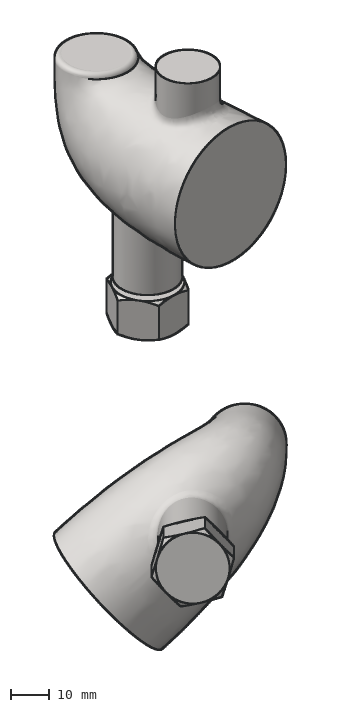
import cadquery as cq
import math

LENGTH = 59.45
WIDTH = 41.0
HEIGHT = 83.5

MOUTH_RADIUS = WIDTH / 2
MOUTH_CENTER_Z = 51.4
CAP_RADIUS = 10.85
CAP_FLAT_RADIUS = 9.0
CAP_BASE_Z = 72.0
CAP_HEIGHT = 1.3
CAP_EDGE_BULGE = 0.5
SECTION_COUNT = 16

TOP_NECK_RADIUS = 8.35
TOP_NECK_X = 44.0
TOP_NECK_FILLET = 2.9
BOTTOM_NECK_RADIUS = 9.0
BOTTOM_NECK_X = 29.4
BOTTOM_NECK_FILLET = 2.9
BOTTOM_NECK_END_Z = 13.45

NUT_FLATS = 19.0
NUT_HEIGHT = 11.9
NUT_CHAMFER_ANGLE = 30.0
NUT_SIDES = 6
NUT_TURN = 180.0 / NUT_SIDES

MOUTH_TOP_Z = MOUTH_CENTER_Z + MOUTH_RADIUS
MOUTH_BOTTOM_Z = MOUTH_CENTER_Z - MOUTH_RADIUS
UPPER_EDGE_X = (2 * CAP_RADIUS, 24.2, 37.6, LENGTH)
UPPER_EDGE_Z = (CAP_BASE_Z, 72.8, MOUTH_TOP_Z, MOUTH_TOP_Z)
LOWER_EDGE_X = (0.0, 0.0, 6.5, LENGTH)
LOWER_EDGE_Z = (CAP_BASE_Z, 47.3, 30.3, MOUTH_BOTTOM_Z)
HALF_WIDTH = (CAP_RADIUS, 11.85, 20.7, MOUTH_RADIUS)


def bezier(controls, t):
    """Value at t (0 to 1) of the cubic Bezier curve with four control values."""
    a, b, c, d = controls
    s = 1 - t
    return a * s**3 + 3 * b * s**2 * t + 3 * c * s * t**2 + d * t**3


def elbow_section(t):
    """Ellipse that spans the upper and lower edges of the elbow at t."""
    upper = cq.Vector(bezier(UPPER_EDGE_X, t), 0, bezier(UPPER_EDGE_Z, t))
    lower = cq.Vector(bezier(LOWER_EDGE_X, t), 0, bezier(LOWER_EDGE_Z, t))
    span = upper - lower
    normal = span.cross(cq.Vector(0, 1, 0))
    center = (upper + lower) * 0.5
    ellipse = cq.Edge.makeEllipse(span.Length / 2, bezier(HALF_WIDTH, t), center, normal, span)
    return cq.Wire.assembleEdges([ellipse])


def make_elbow():
    sections = [elbow_section(i / SECTION_COUNT) for i in range(SECTION_COUNT + 1)]
    return cq.Workplane(cq.Solid.makeLoft(sections))


def make_cap():
    """Thin disc with a rounded rim, on the nose end of the elbow."""
    middle_radius = (CAP_RADIUS + CAP_FLAT_RADIUS) / 2 + CAP_EDGE_BULGE
    middle_height = CAP_HEIGHT / 2 + CAP_EDGE_BULGE / 2
    return (
        cq.Workplane("XZ")
        .lineTo(CAP_RADIUS, 0)
        .threePointArc((middle_radius, middle_height), (CAP_FLAT_RADIUS, CAP_HEIGHT))
        .lineTo(0, CAP_HEIGHT)
        .close()
        .revolve(360, (0, 0), (0, 1))
        .translate((CAP_RADIUS, 0, CAP_BASE_Z))
    )


def make_neck(x, radius, end_z):
    """Vertical cylinder from the axis of the mouth to end_z."""
    return (
        cq.Workplane("XY", origin=(x, 0, MOUTH_CENTER_Z))
        .circle(radius)
        .extrude(end_z - MOUTH_CENTER_Z)
    )


def neck_joint(x, radius, low_z, high_z):
    """Selects the edges where a neck meets the elbow."""
    return cq.selectors.BoxSelector(
        (x - radius, -radius, low_z), (x + radius, radius, high_z)
    )


def make_housing():
    body = make_elbow()
    body = body.union(make_neck(TOP_NECK_X, TOP_NECK_RADIUS, HEIGHT))
    body = body.union(make_neck(BOTTOM_NECK_X, BOTTOM_NECK_RADIUS, BOTTOM_NECK_END_Z))
    top_joint = neck_joint(TOP_NECK_X, TOP_NECK_RADIUS, MOUTH_CENTER_Z, MOUTH_TOP_Z)
    bottom_joint = neck_joint(BOTTOM_NECK_X, BOTTOM_NECK_RADIUS, MOUTH_BOTTOM_Z, MOUTH_CENTER_Z)
    body = body.edges("not %LINE").edges(top_joint).fillet(TOP_NECK_FILLET)
    body = body.edges("not %LINE").edges(bottom_joint).fillet(BOTTOM_NECK_FILLET)
    return body.union(make_cap())


def make_nut():
    """Solid hexagon with its corners chamfered at both ends."""
    corner_radius = NUT_FLATS / math.sqrt(3)
    flat_radius = NUT_FLATS / 2
    chamfer = (corner_radius - flat_radius) * math.tan(math.radians(NUT_CHAMFER_ANGLE))
    hexagon = (
        cq.Workplane("XY")
        .polygon(NUT_SIDES, 2 * corner_radius)
        .extrude(NUT_HEIGHT)
        .rotate((0, 0, 0), (0, 0, 1), NUT_TURN)
    )
    turned_blank = (
        cq.Workplane("XZ")
        .lineTo(flat_radius, 0)
        .lineTo(corner_radius, chamfer)
        .lineTo(corner_radius, NUT_HEIGHT - chamfer)
        .lineTo(flat_radius, NUT_HEIGHT)
        .lineTo(0, NUT_HEIGHT)
        .close()
        .revolve(360, (0, 0), (0, 1))
    )
    return hexagon.intersect(turned_blank).translate((BOTTOM_NECK_X, 0, 0))


housing = make_housing()
nut = make_nut()
result = cq.Compound.makeCompound([housing.val(), nut.val()])